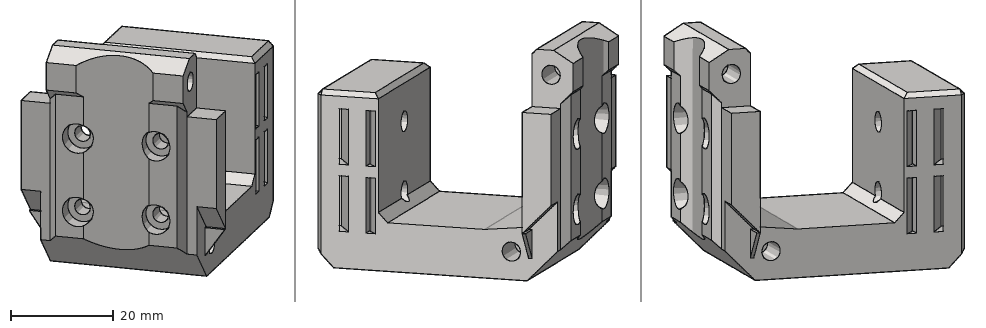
import cadquery as cq
import math

total_width = 40.0
total_depth = 52.2
total_height = 45.85

body_width = 32.05
back_wall_front = 39.4
back_wall_height = 35.25
back_bottom_chamfer = 3.6
edge_chamfer = 1.0
floor_height = 9.7
inner_corner_chamfer = 1.95
ramp_start = 17.55
ramp_top = 10.75

plate_back = 8.5
plate_front = 2.55
pad_front = 1.0
head_width = 28.05
head_base = 35.3
head_slope_back = 4.0
head_slope_drop = 2.35
front_bottom_chamfer = 8.8
wing_top = 34.4
wing_bottom = 10.25
pad_side_chamfer = plate_front - pad_front

fin_thickness = 0.75
fin_bottom = 4.55
fin_overlap = 0.05

channel_radius = 11.5
channel_depth = 3.15

screw_diameter = 3.2
counterbore_diameter = 6.0
counterbore_depth = 3.4
screw_spacing_x = 16.0
screw_heights = (13.2, 28.25)

pin_diameter = 3.75
pin_depth = 7.85
pin_places = ((4.55, 40.95), (12.05, 5.65))

wall_hole_diameter = 4.0
wall_hole_heights = (12.75, 26.65)
slot_heights = (12.9, 26.25)
slot_height = 11.05
slot_width = 1.95
inner_slot_front = 40.0
inner_slot_bend_rise = 1.5
inner_slot_steep_angle = 41
inner_slot_end_angle = 28
outer_slot_front = 45.5
outer_slot_angle = 32
outer_slot_depth = 5.2

half_body = body_width / 2
half_head = head_width / 2


def side_prism(points, width):
    """Extrude a (y, z) outline symmetrically about X = 0."""
    return cq.Workplane("YZ").polyline(points).close().extrude(width / 2, both=True)


def mirrored(shape):
    """Add the copy on the opposite side of X = 0."""
    return shape.union(shape.mirror("YZ"))


def front_chamfer_height(y):
    """Height of the 45 degree front bottom chamfer at a given depth."""
    return front_bottom_chamfer - y


def make_body():
    body = side_prism(
        [
            (front_bottom_chamfer, 0),
            (total_depth - back_bottom_chamfer, 0),
            (total_depth, back_bottom_chamfer),
            (total_depth, back_wall_height),
            (back_wall_front, back_wall_height),
            (back_wall_front, floor_height + inner_corner_chamfer),
            (back_wall_front - inner_corner_chamfer, floor_height),
            (ramp_start, floor_height),
            (plate_back, ramp_top),
            (plate_front, ramp_top + plate_back - plate_front),
            (plate_front, front_chamfer_height(plate_front)),
        ],
        body_width,
    )
    top_edge_box = cq.selectors.BoxSelector(
        (-total_width, back_wall_front - edge_chamfer, back_wall_height - edge_chamfer),
        (total_width, total_depth + edge_chamfer, back_wall_height + edge_chamfer),
    )
    upright_edges = body.edges("|Z").edges(">Y").vals()
    top_edges = body.edges(top_edge_box).vals()
    return body.newObject(upright_edges + top_edges).chamfer(edge_chamfer)


def make_head_plate():
    return side_prism(
        [
            (plate_front, front_chamfer_height(plate_front)),
            (plate_front, head_base),
            (0, head_base + plate_front),
            (0, total_height - head_slope_drop),
            (head_slope_back, total_height),
            (plate_back - edge_chamfer, total_height),
            (plate_back, total_height - edge_chamfer),
            (plate_back, front_chamfer_height(plate_front)),
        ],
        head_width,
    )


def make_pad():
    outline = [
        (-half_head, plate_front),
        (-half_head + pad_side_chamfer, pad_front),
        (half_head - pad_side_chamfer, pad_front),
        (half_head, plate_front),
    ]
    pad = cq.Workplane("XY").polyline(outline).close().extrude(total_height)
    ends = side_prism(
        [
            (plate_front, front_chamfer_height(plate_front)),
            (pad_front, front_chamfer_height(pad_front)),
            (pad_front, head_base + plate_front - pad_front),
            (plate_front, head_base),
        ],
        head_width,
    )
    return pad.intersect(ends)


def make_wings():
    return side_prism(
        [
            (plate_back, wing_bottom),
            (plate_back, wing_top),
            (plate_front, wing_top),
            (plate_front, wing_bottom + plate_back - plate_front),
        ],
        total_width,
    )


def make_fins():
    outline = [
        (half_body, fin_bottom),
        (total_width / 2, wing_bottom),
        (total_width / 2, wing_bottom + fin_overlap),
        (half_body, wing_bottom + fin_overlap),
    ]
    fin = (
        cq.Workplane("XZ", origin=(0, plate_back, 0))
        .polyline(outline).close().extrude(fin_thickness)
    )
    return mirrored(fin)


def make_channel():
    return (
        cq.Workplane("XY")
        .center(0, channel_depth - channel_radius)
        .circle(channel_radius).extrude(total_height)
    )


def y_cylinder(diameter, x, z, front, back):
    return (
        cq.Workplane("XZ", origin=(x, front, z))
        .circle(diameter / 2).extrude(front - back)
    )


def make_screw_holes():
    holes = cq.Workplane("XY")
    for x in (-screw_spacing_x / 2, screw_spacing_x / 2):
        for z in screw_heights:
            holes = holes.union(y_cylinder(screw_diameter, x, z, 0, plate_back))
            holes = holes.union(
                y_cylinder(counterbore_diameter, x, z, 0, pad_front + counterbore_depth)
            )
    return holes


def make_pin_holes():
    holes = cq.Workplane("XY")
    for (y, z), half_width in zip(pin_places, (half_head, half_body)):
        pin = (
            cq.Workplane("YZ", origin=(half_width - pin_depth, y, z))
            .circle(pin_diameter / 2).extrude(pin_depth)
        )
        holes = holes.union(mirrored(pin))
    return holes


def make_wall_holes():
    start = back_wall_front - inner_corner_chamfer
    holes = cq.Workplane("XY")
    for z in wall_hole_heights:
        holes = holes.union(y_cylinder(wall_hole_diameter, 0, z, start, total_depth))
    return holes


def make_wall_slots():
    bend_depth = inner_slot_bend_rise * math.tan(math.radians(90 - inner_slot_steep_angle))
    end_rise = slot_width - inner_slot_bend_rise
    end_depth = bend_depth + end_rise * math.tan(math.radians(90 - inner_slot_end_angle))
    inner_back = inner_slot_front + slot_width
    inner_outline = [
        (half_body, inner_slot_front),
        (half_body - bend_depth, inner_slot_front + inner_slot_bend_rise),
        (half_body - end_depth, inner_back),
        (half_body, inner_back),
    ]
    slant_rise = outer_slot_depth * math.tan(math.radians(outer_slot_angle))
    outer_end = half_body - outer_slot_depth
    outer_outline = [
        (half_body, outer_slot_front),
        (outer_end, outer_slot_front + slant_rise),
        (outer_end, outer_slot_front + slant_rise + slot_width),
        (half_body, outer_slot_front + slot_width),
    ]
    slots = cq.Workplane("XY")
    for z in slot_heights:
        for outline in (inner_outline, outer_outline):
            slot = (
                cq.Workplane("XY", origin=(0, 0, z))
                .polyline(outline).close().extrude(slot_height / 2, both=True)
            )
            slots = slots.union(mirrored(slot))
    return slots


result = make_body()
for added in (make_head_plate(), make_pad(), make_wings(), make_fins()):
    result = result.union(added)
for removed in (
    make_channel(), make_screw_holes(), make_pin_holes(), make_wall_holes(), make_wall_slots(),
):
    result = result.cut(removed)
result = result.clean()